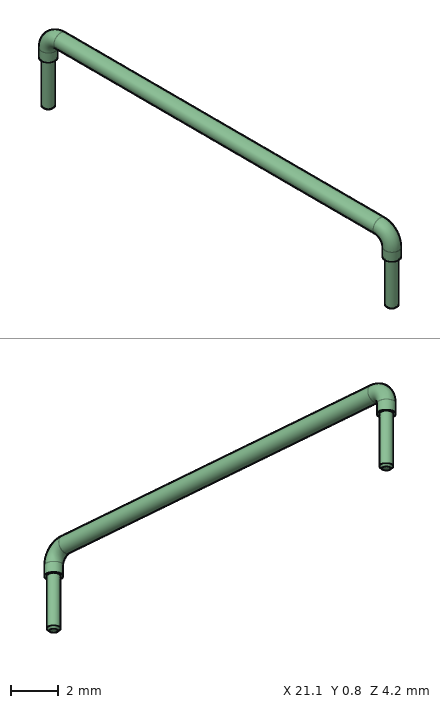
import cadquery as cq

overall_length = 21.12
overall_height = 4.2
sleeve_diameter = 0.8
wire_diameter = 0.6
bend_radius = 0.72
sleeve_leg_length = 0.5
tip_chamfer = 0.1

leg_x = (overall_length - sleeve_diameter) / 2
bar_z = (overall_height - sleeve_diameter) / 2
wire_bottom_z = -overall_height / 2
bend_start_z = bar_z - bend_radius
sleeve_bottom_z = bend_start_z - sleeve_leg_length
wire_length = sleeve_bottom_z - wire_bottom_z


def make_sleeve():
    """Round bar swept along the centreline: leg, bend, straight span, bend, leg."""
    bend_end_x = leg_x - bend_radius
    bend_offset = bend_radius * 0.5 ** 0.5
    bend_middle_x = bend_end_x + bend_offset
    bend_middle_z = bend_start_z + bend_offset
    centreline = (
        cq.Workplane("XZ")
        .moveTo(-leg_x, sleeve_bottom_z)
        .lineTo(-leg_x, bend_start_z)
        .threePointArc((-bend_middle_x, bend_middle_z), (-bend_end_x, bar_z))
        .lineTo(bend_end_x, bar_z)
        .threePointArc((bend_middle_x, bend_middle_z), (leg_x, bend_start_z))
        .lineTo(leg_x, sleeve_bottom_z)
    )
    return (
        cq.Workplane("XY", origin=(-leg_x, 0, sleeve_bottom_z))
        .circle(sleeve_diameter / 2)
        .sweep(centreline)
    )


def make_wire_end(x):
    """Bare wire end that meets the end face of a sleeve leg, with a chamfered tip."""
    return (
        cq.Workplane("XY", origin=(x, 0, wire_bottom_z))
        .circle(wire_diameter / 2)
        .extrude(wire_length)
        .faces("<Z")
        .chamfer(tip_chamfer)
    )


sleeve = make_sleeve()
wire_ends = [make_wire_end(x) for x in (-leg_x, leg_x)]

result = cq.Compound.makeCompound([sleeve.val(), *[wire_end.val() for wire_end in wire_ends]])